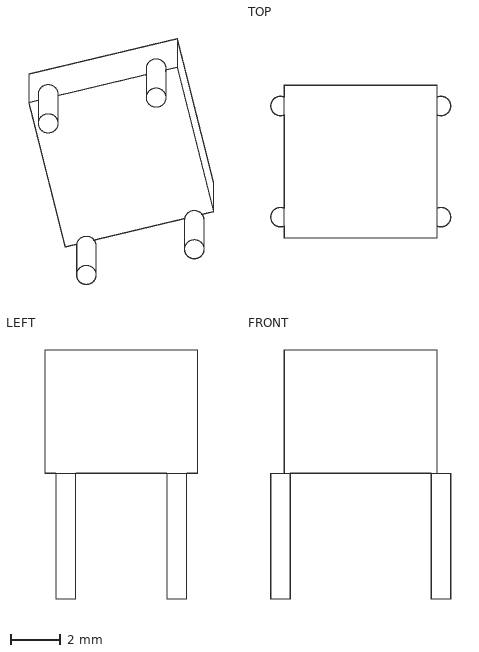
import cadquery as cq

total_height = 10.1
housing_side = 6.2
housing_height = 5.0
pin_length = total_height - housing_height

pin_diameter = 0.8
pin_spacing_x = 6.5
pin_spacing_y = 4.5


def make_housing():
    """Square block standing on the plane Z = 0."""
    return cq.Workplane("XY").box(
        housing_side, housing_side, housing_height, centered=(True, True, False)
    )


def make_pin(x, y):
    """Round pin hanging down from the plane of the housing's underside."""
    return cq.Workplane("XY").center(x, y).circle(pin_diameter / 2).extrude(-pin_length)


housing = make_housing()

pins = []
for side_x in (-1, 1):
    for side_y in (-1, 1):
        pins.append(make_pin(side_x * pin_spacing_x / 2, side_y * pin_spacing_y / 2))

result = cq.Compound.makeCompound([housing.val(), *[pin.val() for pin in pins]])